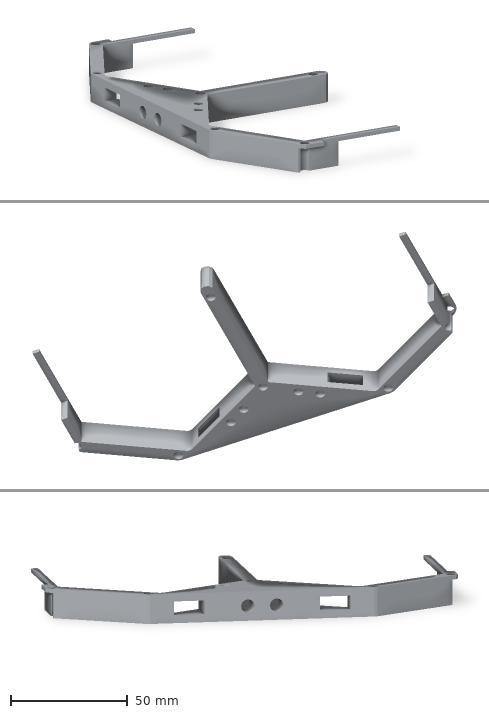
import cadquery as cq
import math

total_width = 180.0
total_depth = 88.2
height = 12.8

bar_width = 6.0
half_bar = bar_width / 2
end_sides = 10

arm_angle = math.radians(30)
shoulder_x = 49.0
shoulder_y = half_bar
elbow_x = total_width / 2 - half_bar
elbow_y = shoulder_y + (elbow_x - shoulder_x) * math.tan(arm_angle)
post_end_y = total_depth - half_bar

valley_radius = 2.7

finger_root_end_y = 41.8
finger_tip_y = 72.5
ledge_end_y = 33.0
beam_thickness = 1.8
beam_bottom = height - beam_thickness

pin_diameter = 4.1
post_tip_hole_y = 81.4
body_holes = [(12.8, 16.4), (20.9, 11.5)]
front_hole_diameter = 5.8
front_hole_x = 6.3
front_hole_depth = 10.8
window_x = 31.9
window_width = 13.1
window_height = 6.1


def block(x_min, x_max, y_min, y_max, z_min, z_max):
    size = (x_max - x_min, y_max - y_min, z_max - z_min)
    return cq.Workplane("XY").box(*size, centered=False).translate((x_min, y_min, z_min))


def bar(start, end):
    """Full-height bar between two points, with a corner of each polygonal end on its axis."""
    dx = end[0] - start[0]
    dy = end[1] - start[1]
    length = math.hypot(dx, dy)
    straight = cq.Workplane("XY").rect(length, bar_width).extrude(height).translate((length / 2, 0, 0))
    round_end = cq.Workplane("XY").polygon(end_sides, bar_width).extrude(height)
    far_end = round_end.rotate((0, 0, 0), (0, 0, 1), 180).translate((length, 0, 0))
    whole = straight.union(round_end).union(far_end)
    heading = math.degrees(math.atan2(dy, dx))
    return whole.rotate((0, 0, 0), (0, 0, 1), heading).translate((start[0], start[1], 0))


def both_sides(half):
    return half.union(half.mirror("YZ"))


def body_and_arms():
    """Central triangle and both sloping arms, with the valleys between them filleted."""
    slope = math.tan(arm_angle)
    edge_rise = half_bar / math.cos(arm_angle)
    post_root_y = elbow_y + edge_rise - half_bar * slope
    valley_x = (elbow_y - shoulder_y + shoulder_x * slope) / (2 * slope)
    valley_y = elbow_y + edge_rise - valley_x * slope
    arm_dx = half_bar * math.sin(arm_angle)
    arm_dy = half_bar * math.cos(arm_angle)
    half = (
        cq.Workplane("XY")
        .moveTo(0, 0)
        .lineTo(shoulder_x, 0)
        .lineTo(shoulder_x + arm_dx, shoulder_y - arm_dy)
        .lineTo(elbow_x + arm_dx, elbow_y - arm_dy)
        .lineTo(elbow_x - arm_dx, elbow_y + arm_dy)
        .lineTo(valley_x, valley_y)
        .lineTo(half_bar, post_root_y)
        .lineTo(0, post_root_y)
        .close()
        .extrude(height)
    )
    valley_edge = cq.selectors.NearestToPointSelector((valley_x, valley_y, height / 2))
    half = half.edges("|Z").edges(valley_edge).fillet(valley_radius)
    return both_sides(half)


def elbow_ends():
    """Polygonal elbow ends, continued as short ledges beside the fingers."""
    ledge = bar((elbow_x, elbow_y), (elbow_x, ledge_end_y))
    beyond_ledge = block(0, total_width, ledge_end_y, total_depth, 0, height)
    return both_sides(ledge.cut(beyond_ledge))


def elbow_undercut():
    """Space below the ledges, which flattens the outer sides of the elbows."""
    return both_sides(block(elbow_x, total_width, 0, total_depth, 0, beam_bottom))


def fingers():
    inner_x = elbow_x - half_bar
    root = block(inner_x, elbow_x, elbow_y, finger_root_end_y, 0, height)
    beam = block(inner_x, elbow_x, elbow_y, finger_tip_y, beam_bottom, height)
    return both_sides(root.union(beam))


def vertical_holes():
    centres = [(0, elbow_y), (0, post_tip_hole_y)]
    for x, y in [(shoulder_x, shoulder_y), (elbow_x, elbow_y)] + body_holes:
        centres += [(x, y), (-x, y)]
    return cq.Workplane("XY").pushPoints(centres).circle(pin_diameter / 2).extrude(height)


def front_openings():
    """Two windows through the body and two blind round holes in its front face."""
    front = cq.Workplane("XZ").workplane(origin=(0, 0, height / 2))
    windows = (
        front.pushPoints([(-window_x, 0), (window_x, 0)])
        .rect(window_width, window_height)
        .extrude(-elbow_y)
    )
    round_holes = (
        front.pushPoints([(-front_hole_x, 0), (front_hole_x, 0)])
        .circle(front_hole_diameter / 2)
        .extrude(-front_hole_depth)
    )
    return windows.union(round_holes)


frame = body_and_arms().union(elbow_ends())
frame = frame.cut(elbow_undercut())
frame = frame.union(bar((0, elbow_y), (0, post_end_y)))
frame = frame.union(fingers())
result = frame.cut(vertical_holes()).cut(front_openings())